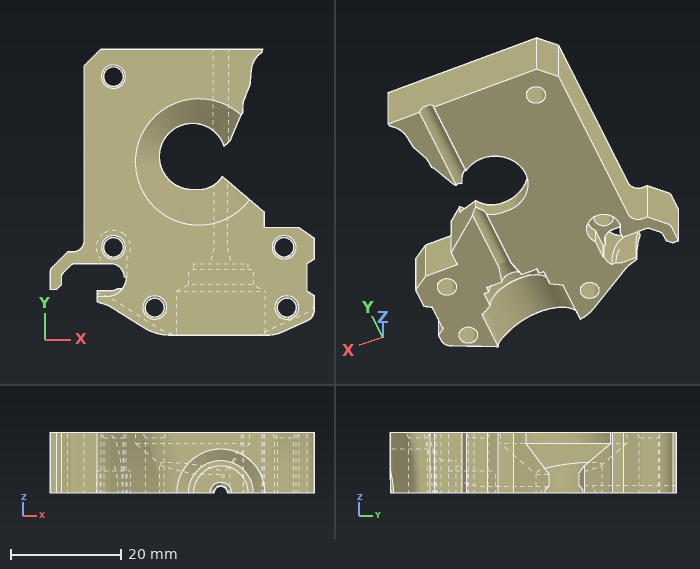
import cadquery as cq
import math


HEIGHT = 11.0
TOP_Y = 20.5
BOTTOM_Y = -31.5
LEFT_X = -20.85
RIGHT_X = 21.0
CORNER_CHAMFER = 3.05
CUT_MARGIN = 5.0

TOP_EDGE_END_X = 11.63
STEP_X = 11.9
STEP_Y = -11.9
STEP_CHAMFER_Y = -13.85
NOTCH_FLOOR_X = 19.7

MOTOR_HALF_PITCH = 15.5
MOTOR_SCREW_DIAMETER = 3.5
SCREW_MOUTH_DIAMETER = 4.3
SCREW_MOUTH_DEPTH = 1.0
HEAD_RECESS_DIAMETER = 6.2
HEAD_RECESS_DEPTH = 4.0
HEAD_CHANNEL_WIDTH = 4.9

FILAMENT_X = 4.0
SOCKET_RADIUS = 8.0
SOCKET_DEPTH = 8.0
THROAT_RADIUS = 5.9
THROAT_START_DEPTH = 9.2
THROAT_END_DEPTH = 12.0
SEAT_RADIUS = 4.95
SEAT_END_DEPTH = 13.0
FILAMENT_RADIUS = 1.2
FILAMENT_GUIDE_RADIUS = 1.95
FILAMENT_INLET_RADIUS = 1.4
FILAMENT_GUIDE_LENGTH = 3.0
CLAMP_HALF_PITCH = 12.0
CLAMP_SCREW_Y = -26.45
CLAMP_SCREW_DIAMETER = 3.4

POCKET_RADIUS = 11.5
POCKET_DEPTH = 2.0
POCKET_CONE_SLOPE = 0.86
POCKET_HUB_RADIUS = 5.0
BORE_RADIUS = 6.0
BORE_CENTER = (-1.13, 1.0)

FLANK_RADIUS = 45.0
LIP_FLANK_RADIUS = 40.0
LEFT_BLEND_RADIUS = 8.0
RIGHT_BLEND_RADIUS = 5.0
LIP_BLEND_RADIUS = 4.5
FLANK_CUTTER_LENGTH = 200.0
FLANK_CORNER_RADIUS = 2.0
LEFT_FLANK_ANGLE = -32.2
LEFT_FLANK_POINT = (-7.8, BOTTOM_Y)
LIP_FLANK_ANGLE = -17.7
LIP_LEFT_X = -18.48
LIP_CORNER_X = -16.4
LIP_FLANK_POINT = (LIP_LEFT_X, -25.43)
RIGHT_FLANK_ANGLE = 24.5
RIGHT_FLANK_POINT = (13.9, BOTTOM_Y)

SLOT_TOP_Y = -18.5
SLOT_BOTTOM_Y = -23.38
SLOT_RADIUS = (SLOT_TOP_Y - SLOT_BOTTOM_Y) / 2
SLOT_CENTER_Y = (SLOT_TOP_Y + SLOT_BOTTOM_Y) / 2
SLOT_CENTER_X = -16.0
RELIEF_CENTER_X = -16.7
RELIEF_RADIUS = 3.5
RELIEF_CURVE_RADIUS = 42.0
RELIEF_MID_Y = -23.0
ARM_TOP_Y = -16.3
ARM_LEFT_X = -27.0
ARM_OUTER_CORNER = 3.2
ARM_INNER_X = -24.93
ARM_INNER_CORNER = 1.95
ARM_TIP_Y = -23.2
ARM_TIP_CHAMFER = 0.92
ARM_FILLET = 2.0
ARM_BEND_RADIUS = 1.1


def prism(points):
    """Full-height prism with the given outline."""
    return cq.Workplane("XY").polyline(points).close().extrude(HEIGHT)


def upright_cylinder(x, y, radius, z_from, z_to):
    return cq.Workplane("XY", origin=(x, y, z_from)).circle(radius).extrude(z_to - z_from)


def flank_cutter(point, angle, radius):
    """Cylinder that meets the top face in a line through point at the given angle."""
    direction = cq.Vector(math.cos(math.radians(angle)), math.sin(math.radians(angle)), 0)
    outward = cq.Vector(direction.y, -direction.x, 0)
    axis_distance = math.sqrt(radius**2 - HEIGHT**2)
    start = cq.Vector(*point, 0) + outward * axis_distance - direction * (FLANK_CUTTER_LENGTH / 2)
    return cq.Workplane(cq.Solid.makeCylinder(radius, FLANK_CUTTER_LENGTH, start, direction))


def blend_lower_side(block, side, radius):
    """Round the edge between the flat lower side and the flank on the given side."""
    return block.faces("<Y").edges(side).fillet(radius)


def make_block():
    """Block below the upper slot wall, with hollow flanks blended into its lower side."""
    block = (
        cq.Workplane("XY")
        .box(RIGHT_X - LIP_LEFT_X, SLOT_TOP_Y - BOTTOM_Y, HEIGHT, centered=False)
        .translate((LIP_LEFT_X, BOTTOM_Y, 0))
    )
    left_cutter = flank_cutter(LEFT_FLANK_POINT, LEFT_FLANK_ANGLE, FLANK_RADIUS)
    lip_cutter = flank_cutter(LIP_FLANK_POINT, LIP_FLANK_ANGLE, LIP_FLANK_RADIUS)
    right_cutter = flank_cutter(RIGHT_FLANK_POINT, RIGHT_FLANK_ANGLE, FLANK_RADIUS)
    block = block.cut(left_cutter.intersect(lip_cutter)).cut(right_cutter)
    lip_corner = (LIP_CORNER_X, LIP_FLANK_POINT[1], HEIGHT / 2)
    block = block.edges(cq.NearestToPointSelector(lip_corner)).fillet(LIP_BLEND_RADIUS)
    block = blend_lower_side(block, "<X", LEFT_BLEND_RADIUS)
    block = blend_lower_side(block, ">X", RIGHT_BLEND_RADIUS)
    return block.faces(">X").edges("<Y").fillet(FLANK_CORNER_RADIUS)


def upper_block():
    """Chamfered part of the block above the slot."""
    return prism([
        (LEFT_X, SLOT_TOP_Y),
        (RIGHT_X, SLOT_TOP_Y),
        (RIGHT_X, TOP_Y),
        (LEFT_X + CORNER_CHAMFER, TOP_Y),
        (LEFT_X, TOP_Y - CORNER_CHAMFER),
    ])


def arm():
    """Hooked arm, rounded where it leaves the left side."""
    inner_bend = (ARM_INNER_X, SLOT_TOP_Y - ARM_INNER_CORNER)
    root_bend = (ARM_INNER_X + ARM_INNER_CORNER, SLOT_TOP_Y)
    outer_bend = (ARM_LEFT_X, ARM_TOP_Y - ARM_OUTER_CORNER)
    hook = (
        cq.Workplane("XY")
        .moveTo(LIP_LEFT_X, SLOT_TOP_Y)
        .lineTo(*root_bend)
        .lineTo(*inner_bend)
        .lineTo(ARM_INNER_X, ARM_TIP_Y + ARM_TIP_CHAMFER)
        .lineTo(ARM_INNER_X - ARM_TIP_CHAMFER, ARM_TIP_Y)
        .lineTo(ARM_LEFT_X, ARM_TIP_Y)
        .lineTo(*outer_bend)
        .lineTo(ARM_LEFT_X + ARM_OUTER_CORNER, ARM_TOP_Y)
        .lineTo(LEFT_X - ARM_FILLET, ARM_TOP_Y)
        .radiusArc((LEFT_X, ARM_TOP_Y + ARM_FILLET), -ARM_FILLET)
        .lineTo(LIP_LEFT_X, ARM_TOP_Y + ARM_FILLET)
        .close()
        .extrude(HEIGHT)
    )
    for bend in (root_bend, inner_bend, outer_bend):
        hook = hook.edges(cq.NearestToPointSelector((*bend, HEIGHT / 2))).fillet(ARM_BEND_RADIUS)
    return hook


def right_opening():
    """Region cut away on the right: wavy upper edge, gap into the bore and stepped lower edge."""
    far_x = RIGHT_X + CUT_MARGIN
    return (
        cq.Workplane("XY")
        .moveTo(far_x, TOP_Y + CUT_MARGIN)
        .lineTo(TOP_EDGE_END_X, TOP_Y + CUT_MARGIN)
        .lineTo(TOP_EDGE_END_X, TOP_Y)
        .lineTo(11.45, 19.9)
        .lineTo(10.75, 19.3)
        .threePointArc((9.9, 18.0), (9.55, 16.5))
        .lineTo(9.35, 14.1)
        .lineTo(8.1, 10.9)
        .lineTo(8.0, 8.9)
        .lineTo(7.67, 8.5)
        .lineTo(5.7, 3.83)
        .lineTo(4.48, 2.76)
        .lineTo(*BORE_CENTER)
        .lineTo(4.3, -2.65)
        .lineTo(STEP_X, -9.1)
        .lineTo(STEP_X, STEP_Y)
        .lineTo(18.2, STEP_Y)
        .lineTo(RIGHT_X, STEP_CHAMFER_Y)
        .lineTo(far_x, STEP_CHAMFER_Y)
        .close()
        .extrude(HEIGHT)
    )


def right_notch():
    return prism([
        (RIGHT_X, -17.65),
        (NOTCH_FLOOR_X, -18.45),
        (NOTCH_FLOOR_X, -23.45),
        (RIGHT_X, -24.3),
    ])


def slot():
    """Round-ended slot with its lower wall curved away towards the top face."""
    straight = cq.Workplane("XY").box(
        SLOT_CENTER_X - LIP_LEFT_X, 2 * SLOT_RADIUS, HEIGHT, centered=False
    )
    straight = straight.translate((LIP_LEFT_X, SLOT_BOTTOM_Y, 0))
    round_end = upright_cylinder(SLOT_CENTER_X, SLOT_CENTER_Y, SLOT_RADIUS, 0, HEIGHT)

    relief_length = RELIEF_CENTER_X - LIP_LEFT_X
    relief = cq.Workplane("XY").box(relief_length, RELIEF_RADIUS, HEIGHT, centered=False)
    relief = relief.translate((LIP_LEFT_X, SLOT_CENTER_Y - RELIEF_RADIUS, 0))
    relief_end = upright_cylinder(RELIEF_CENTER_X, SLOT_CENTER_Y, RELIEF_RADIUS, 0, HEIGHT)
    lower_half = (
        cq.Workplane("XY")
        .box(2 * RELIEF_RADIUS, RELIEF_RADIUS, HEIGHT, centered=(True, False, False))
        .translate((RELIEF_CENTER_X, SLOT_CENTER_Y - RELIEF_RADIUS, 0))
    )
    relief = relief.union(relief_end.intersect(lower_half))
    curved_wall = (
        cq.Workplane("YZ")
        .center(RELIEF_MID_Y - RELIEF_CURVE_RADIUS, 0)
        .circle(RELIEF_CURVE_RADIUS)
        .extrude(2 * RELIEF_RADIUS, both=True)
        .translate((RELIEF_CENTER_X, 0, 0))
    )
    return straight.union(round_end).union(relief.cut(curved_wall))


def gear_pocket():
    """Shallow round pocket that narrows in a cone, with an offset bore through its middle."""
    pocket_floor_z = HEIGHT - POCKET_DEPTH
    pocket = upright_cylinder(0, 0, POCKET_RADIUS, pocket_floor_z, HEIGHT)
    cone_depth = (POCKET_RADIUS - POCKET_HUB_RADIUS) * POCKET_CONE_SLOPE
    cone_end_z = pocket_floor_z - cone_depth
    cone = cq.Workplane(
        cq.Solid.makeCone(POCKET_HUB_RADIUS, POCKET_RADIUS, cone_depth, cq.Vector(0, 0, cone_end_z))
    )
    hub = upright_cylinder(0, 0, POCKET_HUB_RADIUS, 0, cone_end_z)
    bore = upright_cylinder(*BORE_CENTER, BORE_RADIUS, 0, pocket_floor_z)
    return pocket.union(cone).union(hub).union(bore)


def screw_hole(x, y, diameter):
    """Through hole with a conical mouth in the top face."""
    hole = upright_cylinder(x, y, diameter / 2, 0, HEIGHT)
    mouth = cq.Solid.makeCone(
        diameter / 2,
        SCREW_MOUTH_DIAMETER / 2,
        SCREW_MOUTH_DEPTH,
        cq.Vector(x, y, HEIGHT - SCREW_MOUTH_DEPTH),
    )
    return hole.union(cq.Workplane(mouth))


def head_recess(x, y):
    """Screw head recess in the split face, opening into the slot through a channel."""
    recess = upright_cylinder(x, y, HEAD_RECESS_DIAMETER / 2, 0, HEAD_RECESS_DEPTH)
    length = y - SLOT_CENTER_Y
    channel = cq.Workplane("XY").box(HEAD_CHANNEL_WIDTH, length, HEAD_RECESS_DEPTH, centered=False)
    return recess.union(channel.translate((x - HEAD_CHANNEL_WIDTH / 2, SLOT_CENTER_Y, 0)))


def hot_end_socket():
    """Stepped socket turned about the filament axis, with the filament hole running on in +Y."""
    guide_end_depth = SEAT_END_DEPTH + FILAMENT_GUIDE_LENGTH
    pocket_center_depth = -BOTTOM_Y
    block_depth = TOP_Y - BOTTOM_Y
    profile = [
        (0, 0),
        (SOCKET_RADIUS, 0),
        (SOCKET_RADIUS, SOCKET_DEPTH),
        (THROAT_RADIUS, THROAT_START_DEPTH),
        (THROAT_RADIUS, THROAT_END_DEPTH),
        (SEAT_RADIUS, THROAT_END_DEPTH),
        (SEAT_RADIUS, SEAT_END_DEPTH),
        (FILAMENT_GUIDE_RADIUS, SEAT_END_DEPTH),
        (FILAMENT_RADIUS, guide_end_depth),
        (FILAMENT_RADIUS, pocket_center_depth),
        (FILAMENT_INLET_RADIUS, pocket_center_depth),
        (FILAMENT_INLET_RADIUS, block_depth),
        (0, block_depth),
    ]
    turned = cq.Workplane("XY").polyline(profile).close().revolve(360, (0, 0), (0, 1))
    return turned.translate((FILAMENT_X, BOTTOM_Y, 0))


body = make_block().union(upper_block()).union(arm())
body = body.cut(right_opening()).cut(right_notch()).cut(slot())
body = body.cut(gear_pocket()).cut(hot_end_socket())

motor_screws = [
    (-MOTOR_HALF_PITCH, MOTOR_HALF_PITCH),
    (-MOTOR_HALF_PITCH, -MOTOR_HALF_PITCH),
    (MOTOR_HALF_PITCH, -MOTOR_HALF_PITCH),
]
for screw_x, screw_y in motor_screws:
    body = body.cut(screw_hole(screw_x, screw_y, MOTOR_SCREW_DIAMETER))
for side in (-1, 1):
    clamp_x = FILAMENT_X + side * CLAMP_HALF_PITCH
    body = body.cut(screw_hole(clamp_x, CLAMP_SCREW_Y, CLAMP_SCREW_DIAMETER))

body = body.cut(head_recess(-MOTOR_HALF_PITCH, -MOTOR_HALF_PITCH))

result = body